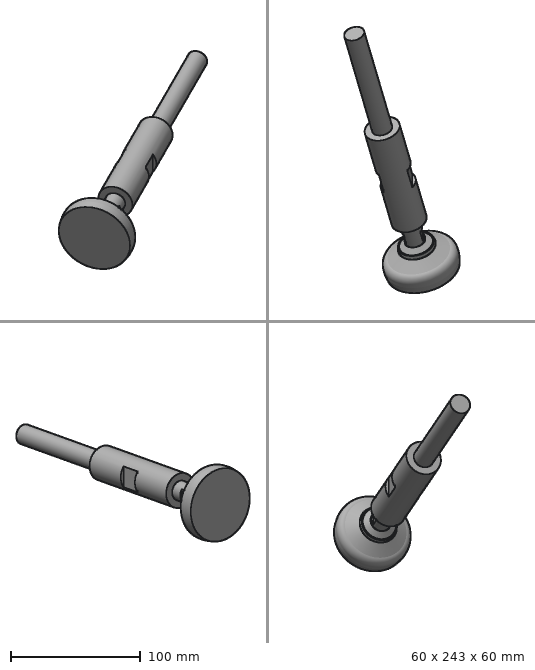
import cadquery as cq

TOTAL_LENGTH = 243.0

SPINDLE_DIAMETER = 16.0
SPINDLE_FLAT_START = 30.5
SPINDLE_FLAT_LENGTH = 9.0
SPINDLE_ACROSS_FLATS = 13.1
SLEEVE_DIAMETER = 28.0
SLEEVE_START = 49.5
SLEEVE_LENGTH = 95.0
SLEEVE_FLAT_LENGTH = 17.5
SLEEVE_ACROSS_FLATS = 22.4

FOOT_DIAMETER = 60.0
FLOOR_RADIUS = 29.2
RIM_HEIGHT = 6.0
DOME_EDGE_RADIUS = 30.0
DOME_EDGE_HEIGHT = 9.0
DOME_MIDDLE_RADIUS = 28.7
DOME_MIDDLE_HEIGHT = 13.1
SLOPE_FOOT_RADIUS = 24.8
SLOPE_FOOT_HEIGHT = 15.5
SLOPE_TOP_RADIUS = 15.0
SLOPE_TOP_HEIGHT = 21.0

GROOVE_RADIUS = 14.3
GROOVE_HEIGHT = 21.5
COLLAR_RADIUS = 15.0
COLLAR_HEIGHT = 22.4
COLLAR_TOP_RADIUS = 14.3
CAP_BASE_RADIUS = 13.4
CAP_BASE_HEIGHT = 25.3
CAP_TOP_RADIUS = 8.3
FOOT_HEIGHT = 28.7


def rod(diameter, start, length):
    """Cylinder along +Y beginning at y = start."""
    direction = cq.Vector(0, 1, 0)
    return cq.Workplane(cq.Solid.makeCylinder(diameter / 2, length, cq.Vector(0, start, 0), direction))


def cut_wrench_flats(body, diameter, across_flats, start, length):
    """Cut two opposite flats, facing -X and +X, into a round section."""
    for side in (-1, 1):
        centre_x = side * (across_flats + diameter) / 2
        cutter = cq.Workplane().box(diameter, length, diameter)
        body = body.cut(cutter.translate((centre_x, start + length / 2, 0)))
    return body


def make_spindle():
    spindle = rod(SPINDLE_DIAMETER, FOOT_HEIGHT, TOTAL_LENGTH - FOOT_HEIGHT)
    spindle = cut_wrench_flats(
        spindle, SPINDLE_DIAMETER, SPINDLE_ACROSS_FLATS, SPINDLE_FLAT_START, SPINDLE_FLAT_LENGTH
    )
    sleeve = rod(SLEEVE_DIAMETER, SLEEVE_START, SLEEVE_LENGTH)
    sleeve_flat_start = SLEEVE_START + (SLEEVE_LENGTH - SLEEVE_FLAT_LENGTH) / 2
    sleeve = cut_wrench_flats(
        sleeve, SLEEVE_DIAMETER, SLEEVE_ACROSS_FLATS, sleeve_flat_start, SLEEVE_FLAT_LENGTH
    )
    return spindle.union(sleeve).solids()


def make_foot():
    """Turned foot: tapered rim, domed shoulder, slope, grooved collar and conical cap."""
    profile = (
        cq.Workplane("XY")
        .lineTo(FLOOR_RADIUS, 0)
        .lineTo(FOOT_DIAMETER / 2, RIM_HEIGHT)
        .lineTo(DOME_EDGE_RADIUS, DOME_EDGE_HEIGHT)
        .threePointArc((DOME_MIDDLE_RADIUS, DOME_MIDDLE_HEIGHT), (SLOPE_FOOT_RADIUS, SLOPE_FOOT_HEIGHT))
        .lineTo(SLOPE_TOP_RADIUS, SLOPE_TOP_HEIGHT)
        .lineTo(GROOVE_RADIUS, GROOVE_HEIGHT)
        .lineTo(COLLAR_RADIUS, COLLAR_HEIGHT)
        .lineTo(COLLAR_TOP_RADIUS, CAP_BASE_HEIGHT)
        .lineTo(CAP_BASE_RADIUS, CAP_BASE_HEIGHT)
        .lineTo(CAP_TOP_RADIUS, FOOT_HEIGHT)
        .lineTo(0, FOOT_HEIGHT)
        .close()
    )
    return profile.revolve(360, (0, 0, 0), (0, 1, 0))


foot = make_foot()
spindle = make_spindle()
result = cq.Compound.makeCompound([foot.val(), spindle.val()])